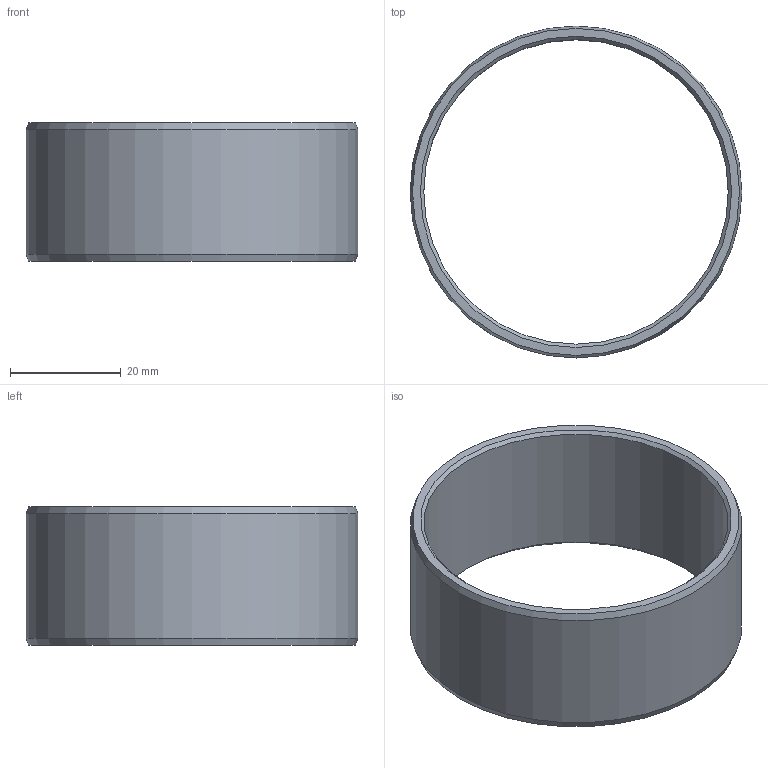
import cadquery as cq
import math

outer_diameter = 60.0
inner_diameter = 55.07
length = 25.0

outer_chamfer_length = 1.2
outer_chamfer_angle = 20.0

inner_chamfer_size = 0.6

outer_radius = outer_diameter / 2
inner_radius = inner_diameter / 2
half_length = length / 2
outer_chamfer_width = outer_chamfer_length * math.tan(math.radians(outer_chamfer_angle))


def wall_profile():
    """Cross-section of the wall in the YZ plane, on the -Y side of the axis."""
    outer_end_radius = outer_radius - outer_chamfer_width
    inner_end_radius = inner_radius + inner_chamfer_size
    outer_land_end = half_length - outer_chamfer_length
    bore_end = half_length - inner_chamfer_size
    return (
        cq.Workplane("YZ")
        .moveTo(-inner_radius, -bore_end)
        .lineTo(-inner_end_radius, -half_length)
        .lineTo(-outer_end_radius, -half_length)
        .lineTo(-outer_radius, -outer_land_end)
        .lineTo(-outer_radius, outer_land_end)
        .lineTo(-outer_end_radius, half_length)
        .lineTo(-inner_end_radius, half_length)
        .lineTo(-inner_radius, bore_end)
        .close()
    )


result = wall_profile().revolve(360, (0, 0, 0), (0, 1, 0))